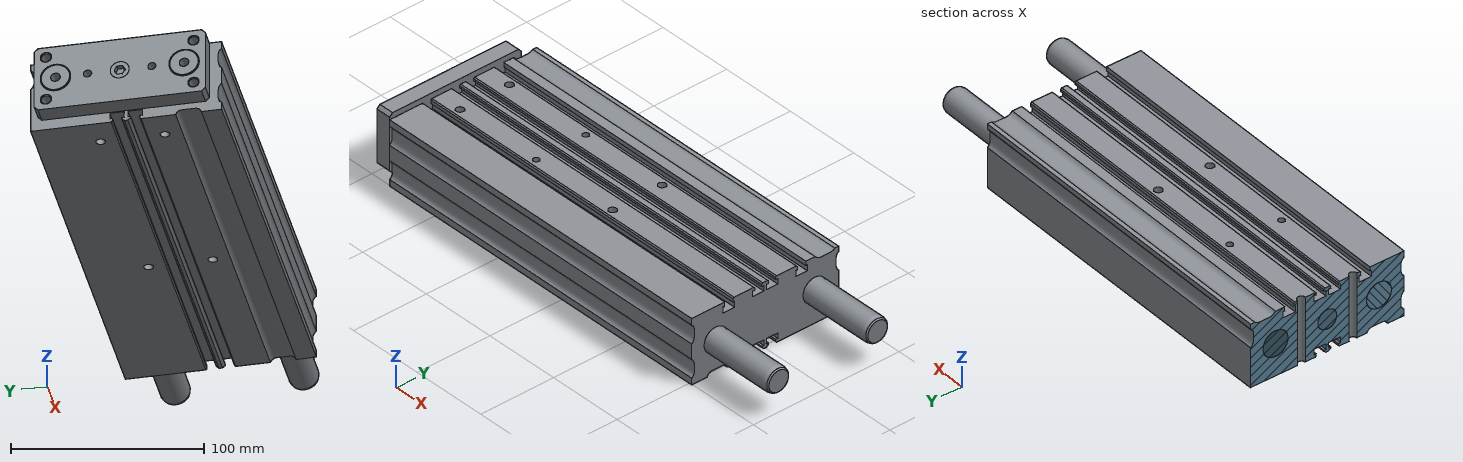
import cadquery as cq
import math


overall_length = 303.0
housing_length = 237.5
housing_width = 101.0
housing_height = 42.0
plate_thickness = 10.0
plate_width = 90.5
plate_height = 38.0
plate_chamfer = 2.0
plate_gap = 6.0

guide_rod_diameter = 16.0
guide_rod_offset = 34.0
guide_rod_front_chamfer = 0.5
guide_rod_tail_chamfer = 0.8
guide_rod_taper_length = 2.0
guide_rod_taper_inset = 0.5
guide_rod_hole_diameter = 5.0
guide_rod_hole_depth = 14.0
drill_point_angle = 118.0

piston_rod_diameter = 12.0
piston_rod_depth_in_housing = 200.0

screw_diameter = 6.0
screw_head_diameter = 10.0
screw_head_height = 6.0
screw_depth_in_rod = 12.0
socket_across_flats = 5.0
socket_depth = 3.0

half_width = housing_width / 2
half_height = housing_height / 2
plate_back = -plate_gap
plate_front = plate_back - plate_thickness
rod_tail = plate_front + overall_length
screw_tip = plate_back + screw_depth_in_rod

groove_depth = 1.8
groove_arc_run = 3.4
groove_edge_chamfer = 0.6
side_groove_inner = 4.9
side_groove_outer = 16.7

strip_drop = 0.9
top_groove_depth = 2.1
top_groove_outer = 47.8
top_groove_inner = 34.2

bottom_groove_depth = 2.5
bottom_groove_inner = 26.2
bottom_groove_outer = 39.8

t_slot_inner = 22.1
t_slot_outer = 27.9
t_slot_lip = 2.8
t_slot_undercut = 1.0
t_slot_depth = 6.5

sensor_mouth_inner = 2.4
sensor_mouth_outer = 7.2
sensor_cavity_inner = 1.0
sensor_cavity_outer = 8.6
sensor_lip = 2.1
sensor_slot_depth = 5.5
slot_edge_chamfer = 0.7
rib_taper = 1.45

mount_hole_offset = 17.0
mount_hole_diameter = 5.0
mount_hole_places = (17.0, 137.0)
pin_hole_diameter = 4.0
pin_hole_depth = 6.0
pin_hole_place = 77.0

corner_hole_y = 39.0
corner_hole_z = 13.0
corner_hole_diameter = 5.0
corner_hole_mouth = 6.0
plate_hole_diameter = 4.2


def turned(points, y=0.0):
    """Solid of revolution about an X axis through (y, 0), from (x, radius) points."""
    profile = cq.Workplane("XZ", origin=(0, y, 0)).polyline(points).close()
    return profile.revolve(360, (0, 0, 0), (1, 0, 0))


def cylinder(start, end, diameter, y=0.0):
    """Cylinder along X."""
    radius = diameter / 2
    return turned([(start, 0), (start, radius), (end, radius), (end, 0)], y)


def along_housing(section):
    """Run a closed YZ section through the whole length of the housing."""
    return section.close().extrude(housing_length)


def section_start():
    """Empty sketch on the housing's front face; its coordinates are Y and Z."""
    return cq.Workplane("YZ")


def arc_middle(rim, floor):
    """Middle of the arc that meets a groove's floor smoothly and rises to its rim.

    Each point is (place across the groove, depth below the face).
    """
    run = rim[0] - floor[0]
    rise = floor[1] - rim[1]
    radius = (run**2 + rise**2) / (2 * rise)
    half_turn = math.asin(abs(run) / radius) / 2
    across = floor[0] + math.copysign(radius * math.sin(half_turn), run)
    return across, floor[1] - radius * (1 - math.cos(half_turn))


def round_groove(inner, outer, depth, place, edge_chamfer=0.0, outer_rim_depth=0.0):
    """Flat-floored groove with rounded sides and, if asked, a chamfered inner edge.

    `place` turns (distance from the housing's middle, depth below the face) into (Y, Z).
    """
    inner_rim = (inner + edge_chamfer, edge_chamfer)
    inner_floor = (inner_rim[0] + groove_arc_run, depth)
    outer_floor = (outer - groove_arc_run, depth)
    outer_rim = (outer, outer_rim_depth)
    section = section_start().moveTo(*place(inner, 0))
    if edge_chamfer:
        section = section.lineTo(*place(*inner_rim))
    section = (
        section.threePointArc(place(*arc_middle(inner_rim, inner_floor)), place(*inner_floor))
        .lineTo(*place(*outer_floor))
        .threePointArc(place(*arc_middle(outer_rim, outer_floor)), place(*outer_rim))
    )
    if outer_rim_depth:
        section = section.lineTo(*place(outer, 0))
    return along_housing(section)


def side_groove(side, level):
    """Groove in the +Y (side = 1) or -Y (side = -1) face, above (level = 1) or below the middle."""
    return round_groove(
        side_groove_inner,
        side_groove_outer,
        groove_depth,
        lambda across, depth: (side * (half_width - depth), level * across),
        edge_chamfer=groove_edge_chamfer,
    )


def top_groove():
    """Groove near the +Y edge of the top, with the strip outside it set lower than the top."""
    groove = round_groove(
        top_groove_inner,
        top_groove_outer,
        top_groove_depth,
        lambda across, depth: (across, half_height - depth),
        edge_chamfer=groove_edge_chamfer,
        outer_rim_depth=strip_drop,
    )
    strip = section_start().polyline([
        (top_groove_outer, half_height),
        (top_groove_outer, half_height - strip_drop),
        (half_width, half_height - strip_drop),
        (half_width, half_height),
    ])
    return groove.union(along_housing(strip))


def bottom_groove():
    """Groove in the -Y half of the bottom face."""
    return round_groove(
        bottom_groove_inner,
        bottom_groove_outer,
        bottom_groove_depth,
        lambda across, depth: (-across, depth - half_height),
    )


def t_slot(side):
    """T-slot in the top face, with its inner edge chamfered."""
    cavity_inner = t_slot_inner - t_slot_undercut
    cavity_outer = t_slot_outer + t_slot_undercut
    section = section_start().polyline([
        (side * t_slot_outer, half_height),
        (side * t_slot_outer, half_height - t_slot_lip),
        (side * cavity_outer, half_height - t_slot_lip),
        (side * cavity_outer, half_height - t_slot_depth),
        (side * cavity_inner, half_height - t_slot_depth),
        (side * cavity_inner, half_height - t_slot_lip),
        (side * t_slot_inner, half_height - t_slot_lip),
        (side * t_slot_inner, half_height - slot_edge_chamfer),
        (side * (t_slot_inner - slot_edge_chamfer), half_height),
    ])
    return along_housing(section)


def sensor_slot(side, face, inner_chamfer):
    """Undercut slot beside the centre rib, in the top (face = 1) or the bottom (face = -1).

    `inner_chamfer` bevels the edge of the rib.
    """
    section = section_start().polyline([
        (side * (sensor_mouth_inner - inner_chamfer), face * half_height),
        (side * sensor_mouth_inner, face * (half_height - inner_chamfer)),
        (side * sensor_mouth_inner, face * (half_height - sensor_lip)),
        (side * sensor_cavity_inner, face * (half_height - sensor_lip)),
        (side * sensor_cavity_inner, face * (half_height - sensor_slot_depth)),
        (side * sensor_cavity_outer, face * (half_height - sensor_slot_depth)),
        (side * sensor_cavity_outer, face * (half_height - sensor_lip)),
        (side * sensor_mouth_outer, face * (half_height - sensor_lip)),
        (side * sensor_mouth_outer, face * (half_height - slot_edge_chamfer)),
        (side * (sensor_mouth_outer + slot_edge_chamfer), face * half_height),
    ])
    return along_housing(section)


def make_housing():
    """Extruded housing with its long grooves, top holes and rod bores."""
    body = cq.Workplane("YZ").rect(housing_width, housing_height).extrude(housing_length)
    body = body.cut(side_groove(1, 1))
    for level in (1, -1):
        body = body.cut(side_groove(-1, level))
    body = body.cut(top_groove()).cut(bottom_groove())
    for side in (1, -1):
        body = body.cut(t_slot(side))
        body = body.cut(sensor_slot(side, 1, slot_edge_chamfer))
        body = body.cut(sensor_slot(side, -1, rib_taper))

    rows = (mount_hole_offset, -mount_hole_offset)
    top = cq.Workplane("XY", origin=(0, 0, half_height))
    mount_points = [(x, y) for x in mount_hole_places for y in rows]
    pin_points = [(pin_hole_place, y) for y in rows]
    body = body.cut(top.pushPoints(mount_points).circle(mount_hole_diameter / 2).extrude(-housing_height))
    body = body.cut(top.pushPoints(pin_points).circle(pin_hole_diameter / 2).extrude(-pin_hole_depth))

    for side in (1, -1):
        body = body.cut(cylinder(0, housing_length, guide_rod_diameter, side * guide_rod_offset))
    return body.cut(cylinder(0, piston_rod_depth_in_housing, piston_rod_diameter))


def make_plate():
    """Front plate that takes the ends of the guide rods and the head of the screw."""
    plate = (
        cq.Workplane("YZ", origin=(plate_front, 0, 0))
        .rect(plate_width, plate_height)
        .extrude(plate_thickness)
        .edges("|X")
        .chamfer(plate_chamfer)
    )
    mouth_depth = (corner_hole_mouth - corner_hole_diameter) / 2
    corner_hole = turned([
        (plate_front, 0),
        (plate_front, corner_hole_mouth / 2),
        (plate_front + mouth_depth, corner_hole_diameter / 2),
        (plate_back, corner_hole_diameter / 2),
        (plate_back, 0),
    ])
    for y in (corner_hole_y, -corner_hole_y):
        for z in (corner_hole_z, -corner_hole_z):
            plate = plate.cut(corner_hole.translate((0, y, z)))

    for side in (1, -1):
        plate = plate.cut(cylinder(plate_front, plate_back, plate_hole_diameter, side * mount_hole_offset))
        plate = plate.cut(cylinder(plate_front, plate_back, guide_rod_diameter, side * guide_rod_offset))

    plate = plate.cut(cylinder(plate_front, plate_front + screw_head_height, screw_head_diameter))
    return plate.cut(cylinder(plate_front, plate_back, screw_diameter))


def make_guide_rod(side):
    """Guide rod flush with the plate, with a drilled front end and a tapered, chamfered tail."""
    radius = guide_rod_diameter / 2
    hole_radius = guide_rod_hole_diameter / 2
    hole_end = plate_front + guide_rod_hole_depth
    hole_point = hole_end + hole_radius / math.tan(math.radians(drill_point_angle / 2))
    taper_end = rod_tail - guide_rod_tail_chamfer
    taper_radius = radius - guide_rod_taper_inset
    return turned([
        (hole_point, 0),
        (hole_end, hole_radius),
        (plate_front, hole_radius),
        (plate_front, radius - guide_rod_front_chamfer),
        (plate_front + guide_rod_front_chamfer, radius),
        (taper_end - guide_rod_taper_length, radius),
        (taper_end, taper_radius),
        (rod_tail, taper_radius - guide_rod_tail_chamfer),
        (rod_tail, 0),
    ], side * guide_rod_offset)


def make_piston_rod():
    """Piston rod from the back of the plate into the housing, bored for the screw."""
    rod = cylinder(plate_back, piston_rod_depth_in_housing, piston_rod_diameter)
    return rod.cut(cylinder(plate_back, screw_tip, screw_diameter))


def make_screw():
    """Socket head cap screw, its head flush with the front of the plate."""
    head = cylinder(plate_front, plate_front + screw_head_height, screw_head_diameter)
    shank = cylinder(plate_front, screw_tip, screw_diameter)
    socket_across_corners = socket_across_flats / math.cos(math.pi / 6)
    socket = (
        cq.Workplane("YZ", origin=(plate_front, 0, 0))
        .polygon(6, socket_across_corners)
        .extrude(socket_depth)
    )
    return head.union(shank).cut(socket)


housing = make_housing()
plate = make_plate()
guide_rods = [make_guide_rod(side) for side in (1, -1)]
piston_rod = make_piston_rod()
screw = make_screw()

result = cq.Compound.makeCompound([
    housing.val(),
    plate.val(),
    *[rod.val() for rod in guide_rods],
    piston_rod.val(),
    screw.val(),
])